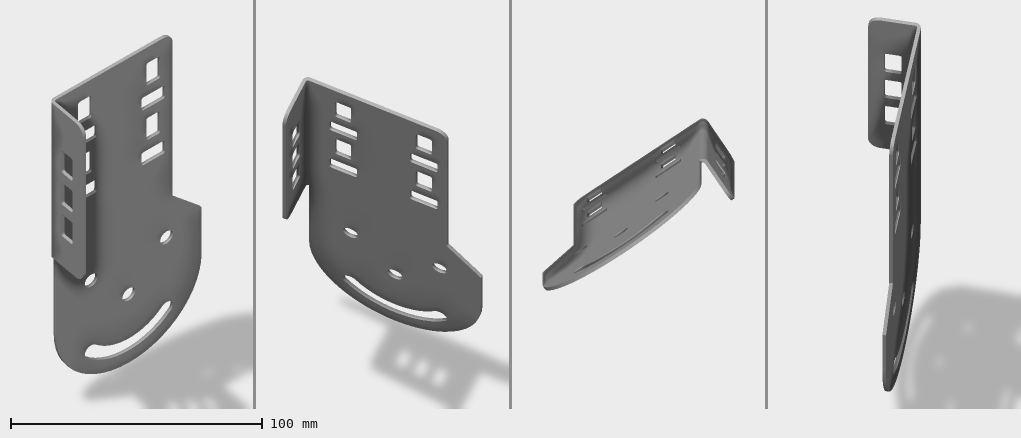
import cadquery as cq
import math


sheet = 1.5
bend_outer_radius = 2.5
bend_inner_radius = bend_outer_radius - sheet

total_height = 167.5
end_radius = 37.5
top_z = total_height - end_radius
shoulder_z = 25.0
shoulder_step = 14.9
corner_radius = 5.0
narrow_edge_y = end_radius - shoulder_step

flange_reach = 21.5
flange_height = 85.0
flange_bottom_z = top_z - flange_height
flange_outer_y = -end_radius - bend_outer_radius
flange_inner_y = flange_outer_y + sheet

hole_diameter = 6.5
pitch_radius = 27.5
half_sweep = 45.0

slot_width = 7.0
slot_length = 12.0
slot_corner_radius = 1.0
plate_slot_edge_margin = 10.0
plate_slot_column_gap = 35.2
plate_slot_top_margin = 14.7
plate_slot_pitch = 15.0
plate_slot_rows = 4
flange_slot_edge_margin = 10.0
flange_slot_top_margin = 27.6
flange_slot_pitch = 17.5
flange_slot_count = 3


def polar(radius, degrees):
    """Point in the YZ plane at an angle from straight down."""
    angle = math.radians(degrees)
    return (radius * math.sin(angle), -radius * math.cos(angle))


def slot_cutter(size_x, size_y, size_z, through_axis):
    """Block with its edges along the cutting direction rounded."""
    block = cq.Workplane("XY").box(size_x, size_y, size_z)
    return block.edges("|" + through_axis).fillet(slot_corner_radius)


def make_plate():
    outline = (
        cq.Workplane("YZ")
        .moveTo(-end_radius, 0)
        .threePointArc((0, -end_radius), (end_radius, 0))
        .lineTo(end_radius, shoulder_z)
        .lineTo(narrow_edge_y, shoulder_z + shoulder_step)
        .lineTo(narrow_edge_y, top_z)
        .lineTo(-end_radius, top_z)
        .close()
    )
    return outline.extrude(sheet).faces(">Z").edges(">Y").fillet(corner_radius)


def make_flange():
    """Bend and flange as one L-shaped strip, starting at the plate's straight edge."""
    bend_middle = math.sqrt(0.5)
    outer_middle = (
        bend_outer_radius * (1 - bend_middle),
        -end_radius - bend_outer_radius * bend_middle,
    )
    inner_middle = (
        bend_outer_radius - bend_inner_radius * bend_middle,
        -end_radius - bend_inner_radius * bend_middle,
    )
    profile = (
        cq.Workplane("XY", origin=(0, 0, flange_bottom_z))
        .moveTo(0, -end_radius)
        .threePointArc(outer_middle, (bend_outer_radius, flange_outer_y))
        .lineTo(flange_reach, flange_outer_y)
        .lineTo(flange_reach, flange_inner_y)
        .lineTo(bend_outer_radius, flange_inner_y)
        .threePointArc(inner_middle, (sheet, -end_radius))
        .close()
    )
    return profile.extrude(flange_height).edges("|Y and >X").fillet(corner_radius)


def cut_round_holes(body):
    centres = [(0, 0)]
    for side in (-1, 1):
        centres.append(polar(pitch_radius, side * (180 - half_sweep)))
    holes = cq.Workplane("YZ").pushPoints(centres).circle(hole_diameter / 2).extrude(sheet)
    return body.cut(holes)


def cut_curved_slot(body):
    inner = pitch_radius - hole_diameter / 2
    outer = pitch_radius + hole_diameter / 2
    band = (
        cq.Workplane("YZ")
        .moveTo(*polar(inner, -half_sweep))
        .threePointArc(polar(inner, 0), polar(inner, half_sweep))
        .lineTo(*polar(outer, half_sweep))
        .threePointArc(polar(outer, 0), polar(outer, -half_sweep))
        .close()
        .extrude(sheet)
    )
    end_centres = [polar(pitch_radius, -half_sweep), polar(pitch_radius, half_sweep)]
    ends = cq.Workplane("YZ").pushPoints(end_centres).circle(hole_diameter / 2).extrude(sheet)
    return body.cut(band).cut(ends)


def cut_plate_slots(body):
    """Two columns of slots, alternately upright and lying."""
    depth = 2 * sheet
    upright = slot_cutter(depth, slot_width, slot_length, "X")
    lying = slot_cutter(depth, slot_length, slot_width, "X")
    far_column_y = narrow_edge_y - plate_slot_edge_margin
    for row in range(plate_slot_rows):
        cutter = upright if row % 2 == 0 else lying
        z = top_z - plate_slot_top_margin - row * plate_slot_pitch
        for y in (far_column_y, far_column_y - plate_slot_column_gap):
            body = body.cut(cutter.translate((sheet / 2, y, z)))
    return body


def cut_flange_slots(body):
    cutter = slot_cutter(slot_width, 2 * sheet, slot_length, "Y")
    x = flange_reach - flange_slot_edge_margin
    y = flange_outer_y + sheet / 2
    for row in range(flange_slot_count):
        z = top_z - flange_slot_top_margin - row * flange_slot_pitch
        body = body.cut(cutter.translate((x, y, z)))
    return body


result = make_plate().union(make_flange())
result = cut_round_holes(result)
result = cut_curved_slot(result)
result = cut_plate_slots(result)
result = cut_flange_slots(result)